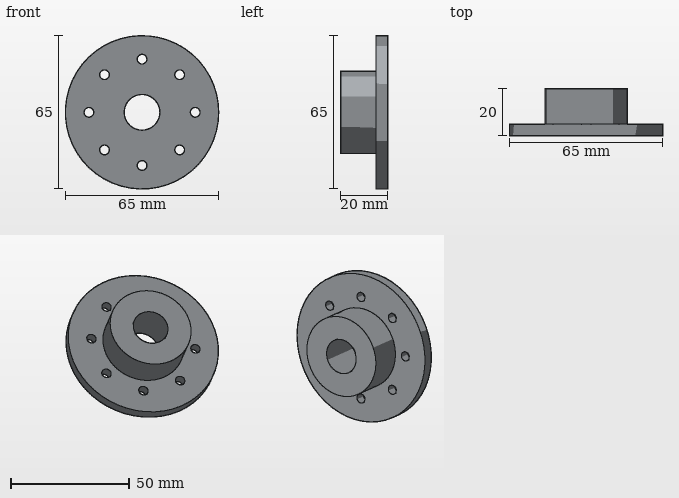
import cadquery as cq

flange_diameter = 65.0
flange_thickness = 5.0
hub_diameter = 35.0
hub_length = 15.0
bore_diameter = 15.0
bolt_hole_diameter = 4.0
bolt_circle_diameter = 45.0
bolt_hole_count = 8

total_length = flange_thickness + hub_length


def cylinder_along_y(diameter, length):
    """Cylinder centred on the Y axis, from the flange face at Y = 0 toward +Y."""
    return cq.Workplane("XZ").circle(diameter / 2).extrude(-length)


def bolt_holes():
    """Ring of through-hole cutters, one of them on the +X axis."""
    return (
        cq.Workplane("XZ")
        .polarArray(bolt_circle_diameter / 2, 0, 360, bolt_hole_count)
        .circle(bolt_hole_diameter / 2)
        .extrude(-flange_thickness)
    )


flange = cylinder_along_y(flange_diameter, flange_thickness)
hub = cylinder_along_y(hub_diameter, total_length)
body = flange.union(hub)

bore = cylinder_along_y(bore_diameter, total_length)
result = body.cut(bore).cut(bolt_holes())